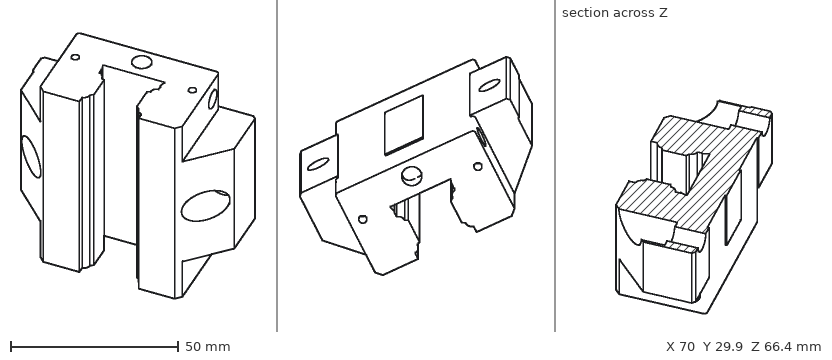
import cadquery as cq
import math


body_width = 70.0
body_height = 29.9
body_length = 38.9
overall_length = 66.4

half_width = body_width / 2
top_chamfer = 0.9
slope_foot_x = 21.45
edge_step = 0.45
edge_step_y = 23.0
center_pad_half = 6.3
side_pad_inner_x = 22.0
pad_height = 0.5

cap_half_width = 23.2
cap_height = body_height - pad_height
cap_corner_radius = 1.0

slot_roof_y = 18.5
slot_roof_half = 10.1
slot_lip_half = 9.5
slot_lip_y = 16.4
slot_mouth_half = 9.7
slot_waist_half = 7.0
track_y = 8.45
waist_half_height = 3.8
bulge_center_x = 10.0
bulge_offset = 4.4
bulge_radius = 2.0

mount_x = 28.5
mount_dia = 6.8
counterbore_dia = 11.0
counterbore_floor_y = 20.0

port_dia = 6.0
port_y = 24.4
port_z = 26.5

screw_x = 19.15
screw_y = 18.5
screw_dia = 2.4
screw_depth = 6.0
drill_point_angle = 118.0


def prism(outline, length):
    """Extrude an XY outline symmetrically about Z = 0."""
    return outline.close().extrude(length / 2, both=True)


def make_body():
    """Flanged steel body with 45 degree flanks and raised mounting pads."""
    step_x = half_width - edge_step
    outline = (
        cq.Workplane("XY")
        .moveTo(-slope_foot_x, 0)
        .lineTo(slope_foot_x, 0)
        .lineTo(half_width, half_width - slope_foot_x)
        .lineTo(half_width, body_height - top_chamfer)
        .lineTo(half_width - top_chamfer, body_height)
        .lineTo(side_pad_inner_x, body_height)
        .lineTo(side_pad_inner_x, cap_height)
        .lineTo(center_pad_half, cap_height)
        .lineTo(center_pad_half, body_height)
        .lineTo(-center_pad_half, body_height)
        .lineTo(-center_pad_half, cap_height)
        .lineTo(-side_pad_inner_x, cap_height)
        .lineTo(-side_pad_inner_x, body_height)
        .lineTo(-half_width + top_chamfer, body_height)
        .lineTo(-half_width, body_height - top_chamfer)
        .lineTo(-half_width, edge_step_y)
        .lineTo(-step_x, edge_step_y - edge_step)
        .lineTo(-step_x, step_x - slope_foot_x)
    )
    return prism(outline, body_length)


def make_cap_bar():
    """Full-length bar with the end cap section; its ends form the two caps."""
    flank_top_y = cap_half_width - slope_foot_x
    outline = (
        cq.Workplane("XY")
        .moveTo(-slope_foot_x, 0)
        .lineTo(slope_foot_x, 0)
        .lineTo(cap_half_width, flank_top_y)
        .lineTo(cap_half_width, cap_height)
        .lineTo(-cap_half_width, cap_height)
        .lineTo(-cap_half_width, flank_top_y)
    )
    return prism(outline, overall_length).edges("|Z and >Y").fillet(cap_corner_radius)


def make_slot_half():
    """Right half of the rail slot, to be cut away."""
    outer_reach = bulge_center_x - slot_mouth_half
    middle_reach = bulge_radius * math.sqrt(0.5)

    waist = (slot_waist_half, waist_half_height)
    inner = (bulge_center_x - bulge_radius, bulge_offset)
    middle = (bulge_center_x - middle_reach, bulge_offset + middle_reach)
    outer = (
        slot_mouth_half,
        bulge_offset + math.sqrt(bulge_radius**2 - outer_reach**2),
    )

    def upper(point):
        return (point[0], track_y + point[1])

    def lower(point):
        return (point[0], track_y - point[1])

    outline = (
        cq.Workplane("XY")
        .lineTo(slot_mouth_half, 0)
        .lineTo(*lower(outer))
        .threePointArc(lower(middle), lower(inner))
        .lineTo(*lower(waist))
        .lineTo(*upper(waist))
        .lineTo(*upper(inner))
        .threePointArc(upper(middle), upper(outer))
        .lineTo(slot_mouth_half, slot_lip_y)
        .lineTo(slot_lip_half, slot_lip_y)
        .lineTo(slot_roof_half, slot_roof_y)
        .lineTo(0, slot_roof_y)
    )
    return prism(outline, overall_length)


def rod(dia, start, length, direction):
    """Cylinder from a start point along a direction."""
    return cq.Solid.makeCylinder(dia / 2, length, cq.Vector(*start), cq.Vector(*direction))


def cut_mounting_holes(part):
    """Through holes in both flanges, counterbored from the open side."""
    for side in (-1, 1):
        start = (side * mount_x, 0, 0)
        part = part.cut(rod(mount_dia, start, body_height, (0, 1, 0)))
        part = part.cut(rod(counterbore_dia, start, counterbore_floor_y, (0, 1, 0)))
    return part


def cut_cap_ports(part):
    """Cross port through each cap, met by a port from the end face."""
    for end in (-1, 1):
        cross_start = (-cap_half_width, port_y, end * port_z)
        part = part.cut(rod(port_dia, cross_start, 2 * cap_half_width, (1, 0, 0)))
        face_start = (0, port_y, end * overall_length / 2)
        part = part.cut(rod(port_dia, face_start, overall_length / 2 - port_z, (0, 0, -end)))
    return part


def cut_screw_holes(part):
    """Blind drilled holes with conical bottoms in both end faces."""
    radius = screw_dia / 2
    point_depth = radius / math.tan(math.radians(drill_point_angle / 2))
    for end in (-1, 1):
        inward = (0, 0, -end)
        face_z = end * overall_length / 2
        tip_z = end * (overall_length / 2 - screw_depth)
        for side in (-1, 1):
            x = side * screw_x
            part = part.cut(rod(screw_dia, (x, screw_y, face_z), screw_depth, inward))
            tip_start = cq.Vector(x, screw_y, tip_z)
            tip = cq.Solid.makeCone(radius, 0, point_depth, tip_start, cq.Vector(*inward))
            part = part.cut(tip)
    return part


slot_half = make_slot_half()
carriage = make_body().union(make_cap_bar())
carriage = carriage.cut(slot_half).cut(slot_half.mirror("YZ"))
carriage = cut_mounting_holes(carriage)
carriage = cut_cap_ports(carriage)
result = cut_screw_holes(carriage)